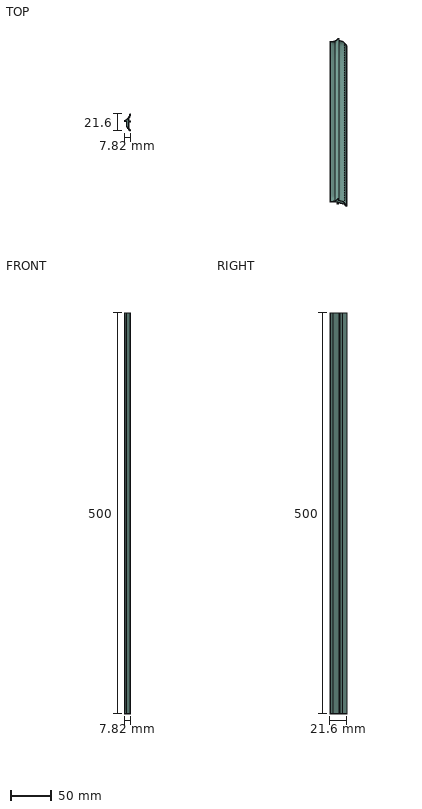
import cadquery as cq
import math

depth = 7.82
width = 21.59
length = 500.0
half_depth = depth / 2
half_width = width / 2

arm_inner_radius = 9.8
arm_thickness = 1.05
arm_center_y = 11.65

web_front_x = -1.45
web_back_x = 1.8

leg_angle = math.radians(36.3)
leg_thickness = 1.35
bend_radius = 5.0

nose_radius = 0.6
rib_thickness = 1.4
rib_center_y = 1.05

arm_outer_radius = arm_inner_radius + arm_thickness
arm_tip_drop = arm_center_y - half_width
arm_center_x = half_depth - math.sqrt(arm_outer_radius**2 - arm_tip_drop**2)

nose_center_x = -half_depth + nose_radius
nose_angle = -math.acos((nose_center_x - arm_center_x) / (arm_inner_radius + nose_radius))
nose_center_y = arm_center_y + (arm_inner_radius + nose_radius) * math.sin(nose_angle)

leg_tip_front = (half_depth - leg_thickness * math.cos(leg_angle), -half_width)
leg_tip_back = (half_depth, -half_width + leg_thickness * math.sin(leg_angle))

bend_center_x = web_front_x + bend_radius
bend_end_x = bend_center_x - bend_radius * math.cos(leg_angle)
bend_end_y = leg_tip_front[1] + (leg_tip_front[0] - bend_end_x) / math.tan(leg_angle)
bend_center_y = bend_end_y + bend_radius * math.sin(leg_angle)

leg_back_y = leg_tip_back[1] + (leg_tip_back[0] - web_back_x) / math.tan(leg_angle)


def add_arc(outline, center, radius, start, end):
    """Continue the outline along an arc from the start to the end angle, measured from +X."""

    def on_arc(angle):
        return (center[0] + radius * math.cos(angle), center[1] + radius * math.sin(angle))

    return outline.threePointArc(on_arc((start + end) / 2), on_arc(end))


def add_front(outline):
    """Arm's inner arc, nose, web front, bend and leg front, from the arm tip to the leg tip."""
    arm_center = (arm_center_x, arm_center_y)
    nose_center = (nose_center_x, nose_center_y)
    bend_center = (bend_center_x, bend_center_y)
    arm_start = -math.asin(arm_tip_drop / arm_inner_radius)
    outline = add_arc(outline, arm_center, arm_inner_radius, arm_start, nose_angle)
    outline = add_arc(outline, nose_center, nose_radius, math.pi + nose_angle, 1.5 * math.pi)
    outline = outline.lineTo(web_front_x, nose_center_y - nose_radius)
    outline = outline.lineTo(web_front_x, bend_center_y)
    outline = add_arc(outline, bend_center, bend_radius, math.pi, math.pi + leg_angle)
    return outline.lineTo(*leg_tip_front)


def add_back(outline):
    """Leg back, web back, rib and arm's outer arc, from the leg tip to the arm tip."""
    arm_center = (arm_center_x, arm_center_y)
    arm_root = -math.acos((web_back_x - arm_center_x) / arm_outer_radius)
    arm_end = -math.asin(arm_tip_drop / arm_outer_radius)
    arm_root_y = arm_center_y + arm_outer_radius * math.sin(arm_root)
    rib_radius = rib_thickness / 2
    rib_round_x = half_depth - rib_radius
    rib_center = (rib_round_x, rib_center_y)
    outline = outline.lineTo(*leg_tip_back).lineTo(web_back_x, leg_back_y)
    outline = outline.lineTo(web_back_x, rib_center_y - rib_radius)
    outline = outline.lineTo(rib_round_x, rib_center_y - rib_radius)
    outline = add_arc(outline, rib_center, rib_radius, -math.pi / 2, math.pi / 2)
    outline = outline.lineTo(web_back_x, rib_center_y + rib_radius)
    outline = outline.lineTo(web_back_x, arm_root_y)
    return add_arc(outline, arm_center, arm_outer_radius, arm_root, arm_end)


arm_tip_front_x = arm_center_x + math.sqrt(arm_inner_radius**2 - arm_tip_drop**2)
section = cq.Workplane("XY", origin=(0, 0, -length / 2)).moveTo(arm_tip_front_x, half_width)
section = add_back(add_front(section)).close()
result = section.extrude(length)